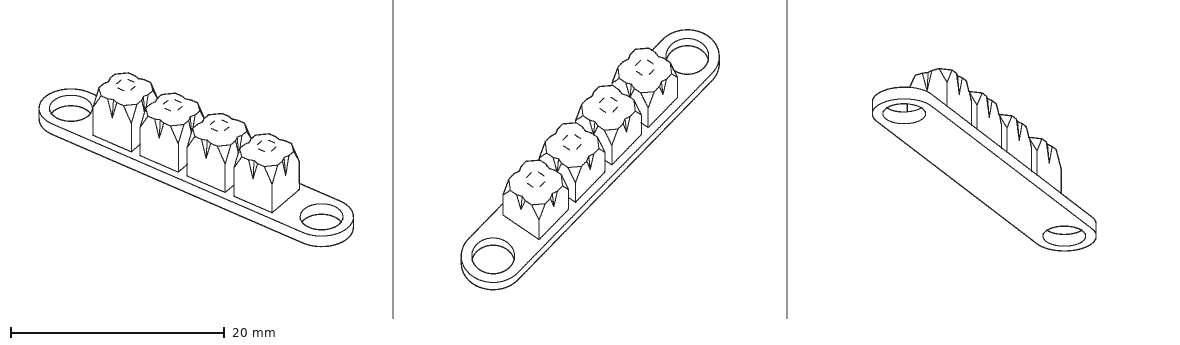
import cadquery as cq
import math

LENGTH = 34.8
WIDTH = 6.0
PLATE_THICKNESS = 1.25
HOLE_DIAMETER = 4.0

POST_COUNT = 4
POST_PITCH = 5.4
POST_SIDE = 4.4
TOTAL_HEIGHT = 6.8
ROOF_RISE = 0.5
ROOF_CAP_WIDTH = 1.65
CORNER_CUT = 0.9
CORNER_DROP = 1.7

NOTCH_WIDTH = 1.05
NOTCH_DROP = 2.02
NOTCH_DEPTH = 0.185

RECESS_BACK_WIDTH = 0.52
RECESS_RUN = 0.73
RECESS_LOW_POINT_RUN = 0.42
RECESS_DEPTH = 0.05

POST_HALF = POST_SIDE / 2
EAVES_Z = TOTAL_HEIGHT - ROOF_RISE
ROOF_SLOPE = ROOF_RISE / (POST_HALF - ROOF_CAP_WIDTH / 2)
CUTTER_REACH = 4.0


def base_plate():
    hole_spacing = LENGTH - WIDTH
    return (
        cq.Workplane("XY")
        .slot2D(LENGTH, WIDTH)
        .extrude(PLATE_THICKNESS)
        .faces(">Z")
        .workplane()
        .pushPoints([(-hole_spacing / 2, 0), (hole_spacing / 2, 0)])
        .hole(HOLE_DIAMETER)
    )


def tetrahedron(apex, corners):
    """Solid with three flat sides meeting at the apex and a flat base through the corners."""
    a, b, c = corners
    triangles = [(apex, a, b), (apex, b, c), (apex, c, a), (a, b, c)]
    faces = [
        cq.Face.makeFromWires(cq.Wire.makePolygon([cq.Vector(*p) for p in triangle], close=True))
        for triangle in triangles
    ]
    return cq.Solid.makeSolid(cq.Shell.makeShell(faces))


def stretched_tetrahedron(apex, corners):
    """Tetrahedron with its corners pushed away from the apex, keeping the three sides in place."""
    stretched = [
        tuple(a + CUTTER_REACH * (p - a) for a, p in zip(apex, corner)) for corner in corners
    ]
    return tetrahedron(apex, stretched)


def octagon(width, corner_cut):
    """Corner points of a square with all four corners cut off."""
    half = width / 2
    short = half - corner_cut
    return [
        (half, -short), (half, short), (short, half), (-short, half),
        (-half, short), (-half, -short), (-short, -half), (short, -half),
    ]


def four_sides(tool):
    """Copies of a tool made for the -Y side (or its corner), one for each side of the post."""
    return [tool.rotate(cq.Vector(0, 0, 0), cq.Vector(0, 0, 1), 90 * side) for side in range(4)]


def corner_cutter():
    corner = (POST_HALF, -POST_HALF, EAVES_Z)
    return tetrahedron(
        corner,
        [
            (POST_HALF - CORNER_CUT, -POST_HALF, EAVES_Z),
            (POST_HALF, -POST_HALF + CORNER_CUT, EAVES_Z),
            (POST_HALF, -POST_HALF, EAVES_Z - CORNER_DROP),
        ],
    )


def side_point(x, run, rise):
    """Point at a distance in from the -Y side and a height above the eaves."""
    return (x, run - POST_HALF, EAVES_Z + rise)


def notch_cutter():
    valley_top = side_point(0, NOTCH_DEPTH * (1 + ROOF_RISE / NOTCH_DROP), ROOF_RISE)
    return stretched_tetrahedron(
        valley_top,
        [
            side_point(-NOTCH_WIDTH / 2, 0, 0),
            side_point(NOTCH_WIDTH / 2, 0, 0),
            side_point(0, 0, -NOTCH_DROP),
        ],
    )


def recess_cutter():
    low_rise = ROOF_SLOPE * RECESS_LOW_POINT_RUN - RECESS_DEPTH
    back_rise = ROOF_SLOPE * RECESS_RUN
    widening = NOTCH_WIDTH / (NOTCH_WIDTH - RECESS_BACK_WIDTH)
    valley_far_end = side_point(0, RECESS_RUN * widening, back_rise * widening)
    low_point = side_point(0, RECESS_LOW_POINT_RUN, low_rise)
    valley_exit = tuple(2 * low - far for low, far in zip(low_point, valley_far_end))
    return stretched_tetrahedron(
        low_point,
        [
            side_point(-RECESS_BACK_WIDTH / 2, RECESS_RUN, back_rise),
            side_point(RECESS_BACK_WIDTH / 2, RECESS_RUN, back_rise),
            valley_exit,
        ],
    )


def post():
    body = (
        cq.Workplane("XY", origin=(0, 0, PLATE_THICKNESS))
        .rect(POST_SIDE, POST_SIDE)
        .extrude(EAVES_Z - PLATE_THICKNESS)
    )
    for cutter in four_sides(corner_cutter()):
        body = body.cut(cq.Workplane(cutter))

    cap_corner_cut = ROOF_CAP_WIDTH / (2 + math.sqrt(2))
    roof = (
        cq.Workplane("XY", origin=(0, 0, EAVES_Z))
        .polyline(octagon(POST_SIDE, CORNER_CUT))
        .close()
        .workplane(offset=ROOF_RISE)
        .polyline(octagon(ROOF_CAP_WIDTH, cap_corner_cut))
        .close()
        .loft(ruled=True)
    )

    shape = body.union(roof)
    for cutter in four_sides(notch_cutter()) + four_sides(recess_cutter()):
        shape = shape.cut(cq.Workplane(cutter))
    return shape


result = base_plate()
one_post = post()
for index in range(POST_COUNT):
    x = (index - (POST_COUNT - 1) / 2) * POST_PITCH
    result = result.union(one_post.translate((x, 0, 0)))